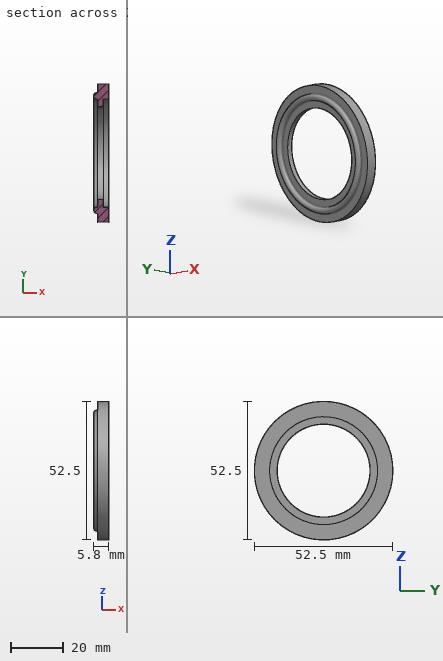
import cadquery as cq

outer_diameter = 52.5
bore_diameter = 35.05
bore_length = 2.15
total_width = 5.8
bead_height = 1.5
bead_mean_diameter = 43.35
bead_crown_radius = 1.25
bead_root_fillet = 0.2

ring_width = total_width - bead_height
bead_wall_height = bead_height - bead_crown_radius
bead_mean_radius = bead_mean_diameter / 2
bead_outer_radius = bead_mean_radius + bead_crown_radius
bead_inner_radius = bead_mean_radius - bead_crown_radius

counterbore_radius = bead_inner_radius

fillet_inner_radius = bead_inner_radius - bead_root_fillet
fillet_outer_radius = bead_outer_radius + bead_root_fillet
section = (
    cq.Workplane("XY")
    .moveTo(0, bore_diameter / 2)
    .lineTo(0, fillet_inner_radius)
    .tangentArcPoint((-bead_root_fillet, bead_inner_radius), relative=False)
    .lineTo(-bead_wall_height, bead_inner_radius)
    .threePointArc((-bead_height, bead_mean_radius), (-bead_wall_height, bead_outer_radius))
    .lineTo(-bead_root_fillet, bead_outer_radius)
    .tangentArcPoint((0, fillet_outer_radius), relative=False)
    .lineTo(0, outer_diameter / 2)
    .lineTo(ring_width, outer_diameter / 2)
    .lineTo(ring_width, counterbore_radius)
    .lineTo(bore_length, counterbore_radius)
    .lineTo(bore_length, bore_diameter / 2)
    .close()
)

result = section.revolve(360, (0, 0, 0), (1, 0, 0))